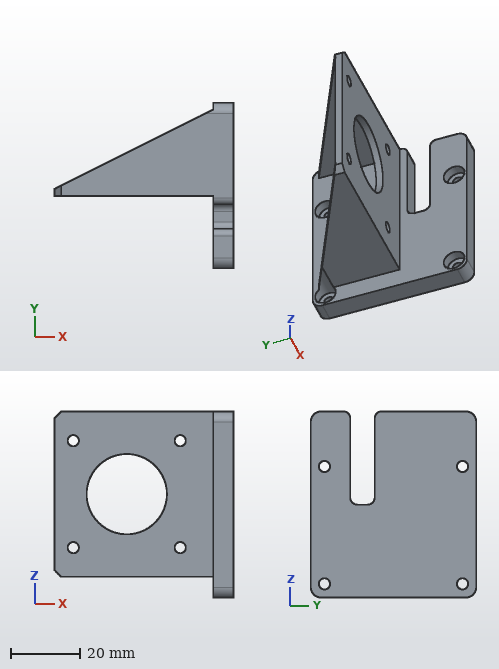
import cadquery as cq

length = 52.0
width = 48.0
height = 54.0

base_thickness = 6.0
corner_radius = 3.0
screw_inset = 4.0
upper_screw_z = 38.0
screw_diameter = 3.2
counterbore_diameter = 6.4
counterbore_depth = 3.0

slot_left_y = 18.5
slot_width = 7.0
slot_depth = 27.0
slot_radius = 2.0
slot_right_y = slot_left_y - slot_width

motor_plate_y = 20.9
motor_plate_thickness = 2.1
motor_plate_height = 48.0
gusset_thickness = 2.95
gusset_root_depth = 25.1
tip_chamfer = 2.0
motor_plate_bottom = height - motor_plate_height

motor_x = -31.0
motor_z = height - motor_plate_height / 2
motor_bore_diameter = 23.2
motor_screw_spacing = 31.0
motor_screw_diameter = 3.2


def rounded_block(depth):
    """Block with the rounded base outline, reaching from X = 0 toward -X."""
    block = cq.Workplane("XY").box(depth, width, height, centered=False)
    return block.translate((-depth, 0, 0)).edges("|X").fillet(corner_radius)


def cylinder_x(diameter, y, z, start_x, end_x):
    """Cylinder along X between two X positions."""
    plane = cq.Workplane("YZ", origin=(start_x, y, z))
    return plane.circle(diameter / 2).extrude(end_x - start_x)


def make_slotted_base():
    slot_bottom = height - slot_depth
    slot = (
        cq.Workplane("XY")
        .box(base_thickness, slot_width, slot_depth, centered=False)
        .translate((-base_thickness, slot_right_y, slot_bottom))
        .edges("|X and <Z")
        .fillet(slot_radius)
    )
    base = rounded_block(base_thickness).cut(slot)
    mouth = cq.selectors.BoxSelector(
        (-base_thickness, slot_right_y - 0.55, height - 0.55),
        (0, slot_left_y + 0.55, height + 0.55),
    )
    return base.edges("|X").edges(mouth).fillet(slot_radius)


def make_motor_bracket():
    """Motor plate with a tapered gusset along its top and bottom edges."""
    plate_back_y = motor_plate_y + motor_plate_thickness
    bracket = (
        cq.Workplane("XY", origin=(0, 0, motor_plate_bottom))
        .moveTo(-length, motor_plate_y)
        .lineTo(-base_thickness, motor_plate_y)
        .lineTo(-base_thickness, motor_plate_y + gusset_root_depth)
        .lineTo(-length, plate_back_y)
        .close()
        .extrude(motor_plate_height)
    )
    bracket = bracket.edges("<X and |Y").chamfer(tip_chamfer)
    space = (
        cq.Workplane("XY")
        .box(length, width, motor_plate_height - 2 * gusset_thickness, centered=False)
        .translate((-length - base_thickness, plate_back_y, motor_plate_bottom + gusset_thickness))
    )
    return bracket.cut(space).intersect(rounded_block(length))


def cut_motor_holes(body):
    plane = cq.Workplane("XZ", origin=(motor_x, motor_plate_y, motor_z))
    screws = plane.rect(motor_screw_spacing, motor_screw_spacing, forConstruction=True).vertices()
    holes = screws.circle(motor_screw_diameter / 2).extrude(-motor_plate_thickness)
    bore = plane.circle(motor_bore_diameter / 2).extrude(-motor_plate_thickness)
    return body.cut(holes).cut(bore)


def cut_base_screws(body):
    """Counterbored holes whose heads clear everything toward -X."""
    counterbore_floor = counterbore_depth - base_thickness
    for y in (screw_inset, width - screw_inset):
        for z in (screw_inset, upper_screw_z):
            body = body.cut(cylinder_x(screw_diameter, y, z, -base_thickness, 0))
            body = body.cut(cylinder_x(counterbore_diameter, y, z, -length, counterbore_floor))
    return body


result = make_slotted_base().union(make_motor_bracket())
result = cut_motor_holes(result)
result = cut_base_screws(result)